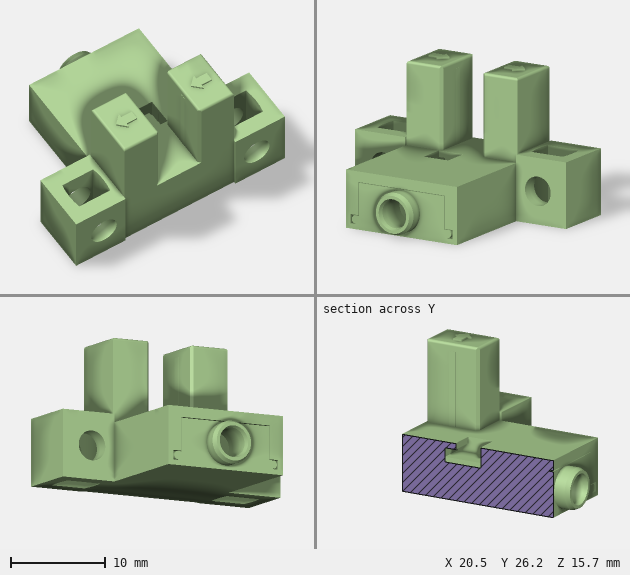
import cadquery as cq


body_width = 13.78
body_height = 6.35

total_width = 26.2
ear_length = 6.95
ear_end_x = 18.73
ear_height = 7.25
ear_width = (total_width - body_width) / 2
ear_center_x = ear_end_x - ear_length / 2
ear_hole_diameter = 3.2
ear_hole_y = 9.6
pocket_length_x = 3.3
pocket_side_y = 3.88
pocket_bulge = 0.17

post_inset = 0.25
post_length = ear_length - 2 * post_inset
post_gap = 5.0
post_top = 15.48
post_edge = 0.3
post_width = (body_width - post_gap) / 2
post_center_y = (body_width + post_gap) / 4
rib_width = 0.79
rib_height = 0.03
rib_top = 14.62
body_length = ear_end_x - post_inset

arrow_top = 15.7
arrow_length = 2.3
arrow_head_length = 1.0
arrow_head_width = 2.0
arrow_shaft_width = 1.02

boss_length = 1.8
boss_diameter = 4.58
boss_z = 2.75
boss_chamfer_length = 0.52
boss_tip_diameter = 4.11
bore_mouth_diameter = 3.4
bore_diameter = 3.12
bore_depth = 3.93

window_side = 3.0
window_start_x = 8.9
window_max_y = 2.78
roof_thickness = 0.7
hollow_floor_depth = 1.7
hollow_overhang = 1.3
relief_offset = 1.15
relief_depth = 0.05
trench_width = 0.35
trench_depth = 0.52

cover_gap = 0.08
opening_half_width = 5.35
opening_top = 5.2
catch_half_width = 6.31
catch_top = 1.57
catch_bottom = 0.55
cover_foot_half_width = 5.7
hook_half_width = 6.15
hook_start = 5.9
groove_depth = 0.5


def block(x_start, x_end, y_start, y_end, z_start, z_end):
    """Box between the given limits."""
    size = (x_end - x_start, y_end - y_start, z_end - z_start)
    return cq.Workplane("XY").box(*size, centered=False).translate((x_start, y_start, z_start))


def ear(side):
    """Mounting ear with a hole along X and a bulged pocket along Z; side is +1 or -1."""
    block_center_y = side * (body_width + ear_width) / 2
    hole_y = side * ear_hole_y
    solid = (
        cq.Workplane("XY")
        .center(ear_center_x, block_center_y)
        .rect(ear_length, ear_width)
        .extrude(ear_height)
    )
    hole = (
        cq.Workplane("YZ", origin=(ear_end_x - ear_length, hole_y, ear_height / 2))
        .circle(ear_hole_diameter / 2)
        .extrude(ear_length)
    )
    half_x = pocket_length_x / 2
    half_y = pocket_side_y / 2
    pocket = (
        cq.Workplane("XY", origin=(ear_center_x, hole_y, 0))
        .moveTo(-half_x, -half_y)
        .threePointArc((0, -half_y - pocket_bulge), (half_x, -half_y))
        .lineTo(half_x, half_y)
        .threePointArc((0, half_y + pocket_bulge), (-half_x, half_y))
        .close()
        .extrude(ear_height)
    )
    return solid.cut(hole).cut(pocket)


def post(side):
    """Sensing post with beveled inner corners, a rounded top and a rib facing the gap."""
    inner_corners = "|Z and <Y" if side > 0 else "|Z and >Y"
    column = (
        cq.Workplane("XY", origin=(ear_center_x, side * post_center_y, 0))
        .rect(post_length, post_width)
        .extrude(post_top)
    )
    rounded = column.faces(">Z").edges().fillet(post_edge)
    beveled = column.edges(inner_corners).chamfer(post_edge)
    rib = (
        cq.Workplane("XY", origin=(ear_center_x, side * post_gap / 2, 0))
        .rect(rib_width, 2 * rib_height)
        .extrude(rib_top)
    )
    return rounded.intersect(beveled).union(rib)


def arrow(side):
    """Raised arrow pointing toward -Y on top of a post."""
    tip_y = -arrow_length / 2
    shoulder_y = tip_y + arrow_head_length
    half_shaft = arrow_shaft_width / 2
    half_head = arrow_head_width / 2
    outline = [
        (0, tip_y),
        (half_head, shoulder_y),
        (half_shaft, shoulder_y),
        (half_shaft, arrow_length / 2),
        (-half_shaft, arrow_length / 2),
        (-half_shaft, shoulder_y),
        (-half_head, shoulder_y),
    ]
    root_z = post_top - post_edge
    return (
        cq.Workplane("XY", origin=(ear_center_x, side * post_center_y, root_z))
        .polyline(outline)
        .close()
        .extrude(arrow_top - root_z)
    )


def revolve_about_cable_axis(outline):
    """Solid of revolution from (x, radius) points about the boss axis."""
    return (
        cq.Workplane("XY", origin=(0, 0, boss_z))
        .polyline(outline)
        .close()
        .revolve(360, (0, 0, 0), (1, 0, 0))
    )


def cable_boss():
    return revolve_about_cable_axis([
        (-boss_length, 0),
        (-boss_length, boss_tip_diameter / 2),
        (-boss_length + boss_chamfer_length, boss_diameter / 2),
        (0, boss_diameter / 2),
        (0, 0),
    ])


def cable_bore():
    bore_end_x = bore_depth - boss_length
    return revolve_about_cable_axis([
        (-boss_length, 0),
        (-boss_length, bore_mouth_diameter / 2),
        (-boss_length + boss_chamfer_length, bore_diameter / 2),
        (bore_end_x, bore_diameter / 2),
        (bore_end_x, 0),
    ])


def window():
    """Square opening, the hollow under the roof, and a relief and a trench along its +Y wall."""
    window_end_x = window_start_x + window_side
    window_min_y = window_max_y - window_side
    hollow_end_x = window_end_x + hollow_overhang
    roof_z = body_height - roof_thickness
    floor_z = body_height - hollow_floor_depth
    opening = block(window_start_x, window_end_x, window_min_y, window_max_y, roof_z, body_height)
    hollow = block(window_start_x, hollow_end_x, window_min_y, window_max_y, floor_z, roof_z)
    trench_start_y = window_max_y - trench_width
    trench = block(
        window_start_x, hollow_end_x, trench_start_y, window_max_y, floor_z - trench_depth, floor_z
    )
    relief = block(
        window_start_x + relief_offset,
        hollow_end_x,
        trench_start_y,
        window_max_y + relief_depth,
        floor_z - trench_depth,
        roof_z,
    )
    return opening.union(hollow).union(trench).union(relief)


def cover_groove():
    """Narrow groove that outlines the end cover and its two side hooks."""
    half_opening = (
        cq.Workplane("YZ")
        .polyline([
            (0, 0),
            (cover_foot_half_width, 0),
            (cover_foot_half_width, catch_bottom),
            (catch_half_width, catch_bottom),
            (catch_half_width, catch_top),
            (opening_half_width, catch_top),
            (opening_half_width, opening_top),
            (0, opening_top),
        ])
        .close()
        .extrude(groove_depth)
    )
    hook_bottom = catch_bottom + cover_gap
    hook_top = catch_top - cover_gap
    cover_half_width = opening_half_width - cover_gap
    half_cover = (
        cq.Workplane("YZ")
        .lineTo(cover_foot_half_width, 0)
        .lineTo(cover_foot_half_width, hook_bottom)
        .lineTo(hook_start, hook_bottom)
        .threePointArc((hook_half_width, (hook_bottom + hook_top) / 2), (hook_start, hook_top))
        .lineTo(cover_half_width, hook_top)
        .lineTo(cover_half_width, opening_top - cover_gap)
        .lineTo(0, opening_top - cover_gap)
        .close()
        .extrude(groove_depth)
    )
    half_groove = half_opening.cut(half_cover)
    return half_groove.union(half_groove.mirror("XZ"))


result = block(0, body_length, -body_width / 2, body_width / 2, 0, body_height)
for side in (1, -1):
    result = result.union(ear(side)).union(post(side)).union(arrow(side))
result = result.cut(cover_groove()).union(cable_boss()).cut(cable_bore()).cut(window())